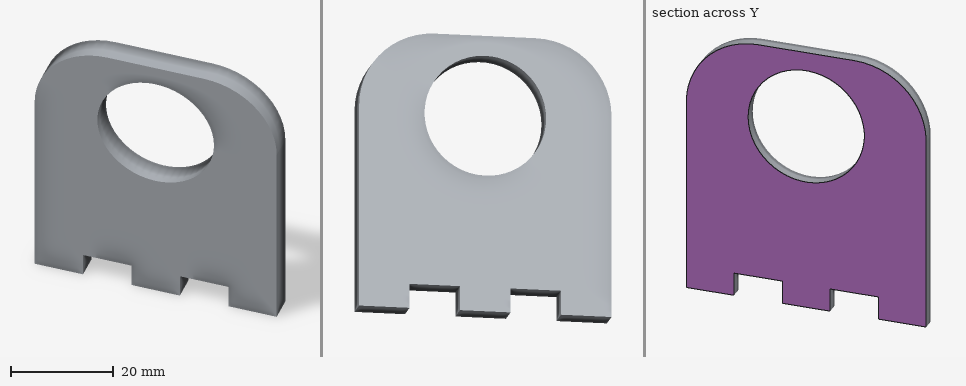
import cadquery as cq

width = 50.0
thickness = 5.1
height = 55.35
corner_radius = 15.0

window_diameter = 24.1
window_height = 39.3

segment_count = 5
segment_width = width / segment_count
notch_depth = 4.8


def make_plate():
    """Upright plate standing on Z = 0 with its two top corners rounded."""
    plate = cq.Workplane("XY").box(width, thickness, height, centered=(True, True, False))
    return plate.edges("|Y and >Z").fillet(corner_radius)


def make_window():
    """Cylinder through the plate thickness."""
    return (
        cq.Workplane("XZ")
        .center(0, window_height)
        .circle(window_diameter / 2)
        .extrude(thickness / 2, both=True)
    )


def make_notch(x_center):
    """Rectangular notch rising from the bottom edge."""
    return (
        cq.Workplane("XY")
        .box(segment_width, thickness, notch_depth, centered=(True, True, False))
        .translate((x_center, 0, 0))
    )


result = make_plate().cut(make_window())
for notch_x in (-segment_width, segment_width):
    result = result.cut(make_notch(notch_x))